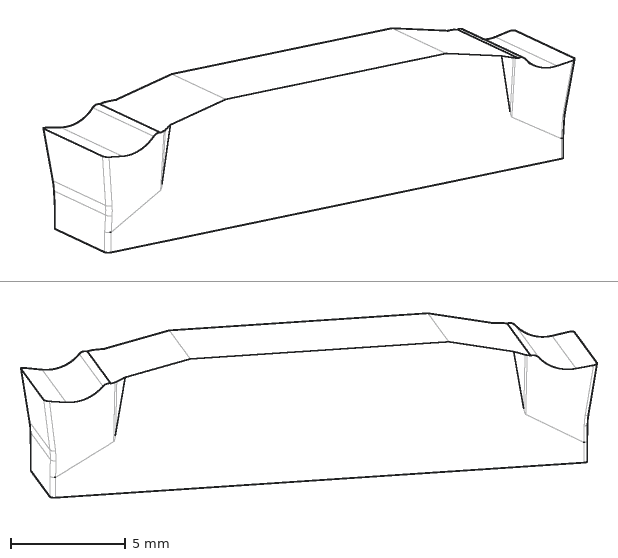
import cadquery as cq
import math

overall_length = 24.84
overall_width = 5.0
overall_height = 5.97

body_width = 4.27
body_length = 24.12
top_flat_length = 11.6
shoulder_slope = 12.5

edge_height = 4.6
clearance_foot_height = 1.98
clearance_blend_radius = 3.4
corner_radius = 0.2

land_length = 0.98
land_slope = 8.5
groove_radius = 1.84
groove_exit_slope = 49.0
crest_y = 9.42

flank_foot_height = 0.83
neck_y = 9.2
neck_foot_height = 2.44
flare_slope = 0.57
neck_blend_radius = 0.2
head_core_half_width = 1.0

half_body_width = body_width / 2
half_body_length = body_length / 2
edge_y = overall_length / 2
flat_end_y = top_flat_length / 2

taper_per_rise = (neck_foot_height - flank_foot_height) / (half_body_length - neck_y)
widest_y = edge_y - corner_radius
widest_z = edge_height - corner_radius * math.tan(math.radians(land_slope))
flank_rise = (overall_width / 2 - half_body_width) / (
    widest_z - flank_foot_height + taper_per_rise * (widest_y - half_body_length)
)
flank_taper = flank_rise * taper_per_rise


class EndCornerSelector(cq.Selector):
    """Upright edges at the end face, from the underside up to the cutting edge."""

    def filter(self, edges):
        return [edge for edge in edges if self.is_end_corner(edge.BoundingBox())]

    def is_end_corner(self, box):
        upright = box.zlen > max(box.xlen, box.ylen)
        at_end_face = box.ymin > half_body_length - corner_radius
        return upright and at_end_face


def arc_point(center, radius, angle):
    """Point of a circle in the YZ plane, angle in degrees from +Y towards +Z."""
    radians = math.radians(angle)
    return center[0] + radius * math.cos(radians), center[1] + radius * math.sin(radians)


def half_profile():
    """Closed side outline, in the YZ plane, of the half with positive Y."""
    land_end = (edge_y - land_length, edge_height - land_length * math.tan(math.radians(land_slope)))
    groove_center = arc_point(land_end, groove_radius, 90 + land_slope)
    groove_start_angle = 270 + land_slope
    groove_end_angle = 270 - groove_exit_slope
    groove_mid = arc_point(groove_center, groove_radius, (groove_start_angle + groove_end_angle) / 2)
    groove_end = arc_point(groove_center, groove_radius, groove_end_angle)

    crest_drop = (crest_y - flat_end_y) * math.tan(math.radians(shoulder_slope))
    crest_end = (crest_y, overall_height - crest_drop)

    clearance_angle = math.degrees(
        math.atan2(edge_y - half_body_length, edge_height - clearance_foot_height)
    )
    blend_tangent_length = clearance_blend_radius * math.tan(math.radians(clearance_angle / 2))
    blend_start = (half_body_length, clearance_foot_height - blend_tangent_length)
    blend_center = (half_body_length + clearance_blend_radius, blend_start[1])
    blend_mid = arc_point(blend_center, clearance_blend_radius, 180 - clearance_angle / 2)
    blend_end = arc_point(blend_center, clearance_blend_radius, 180 - clearance_angle)

    return (
        cq.Workplane("YZ")
        .moveTo(0, 0)
        .lineTo(half_body_length, 0)
        .lineTo(*blend_start)
        .threePointArc(blend_mid, blend_end)
        .lineTo(edge_y, edge_height)
        .lineTo(*land_end)
        .threePointArc(groove_mid, groove_end)
        .tangentArcPoint(crest_end, relative=False)
        .lineTo(flat_end_y, overall_height)
        .lineTo(0, overall_height)
        .close()
    )


def half_bar():
    """Half of the parallel-sided bar with its end corners rounded."""
    bar = half_profile().extrude(half_body_width, both=True)
    return bar.edges(EndCornerSelector()).fillet(corner_radius)


def flank_half_width(y, z):
    """Half width of the head at a point of its flank."""
    rise = flank_rise * (z - flank_foot_height)
    taper = flank_taper * (y - half_body_length)
    return half_body_width + rise + taper


def head_section(z):
    """Horizontal outline at height z of the flanks and flares, carried past the end face."""
    outer_y = edge_y + corner_radius
    outer_x = flank_half_width(outer_y, z)
    neck_x = flank_half_width(neck_y, z)
    core_y = neck_y - (neck_x - head_core_half_width) / flare_slope
    right = [(head_core_half_width, core_y), (neck_x, neck_y), (outer_x, outer_y)]
    left = [(-x, y) for x, y in reversed(right)]
    return cq.Wire.makePolygon([cq.Vector(x, y, z) for x, y in right + left], close=True)


def head():
    """Widened head with rounded necks and end corners."""
    envelope = cq.Workplane(cq.Solid.makeLoft([head_section(0), head_section(overall_height)], True))
    neck_edges = cq.selectors.BoxSelector(
        (-overall_width, neck_y - neck_blend_radius, 0),
        (overall_width, neck_y + neck_blend_radius, overall_height),
    )
    envelope = envelope.edges(neck_edges).fillet(neck_blend_radius)
    block = half_profile().extrude(overall_width, both=True)
    return envelope.intersect(block).edges(EndCornerSelector()).fillet(corner_radius)


half = half_bar().union(head())
result = half.union(half.mirror("XZ"))